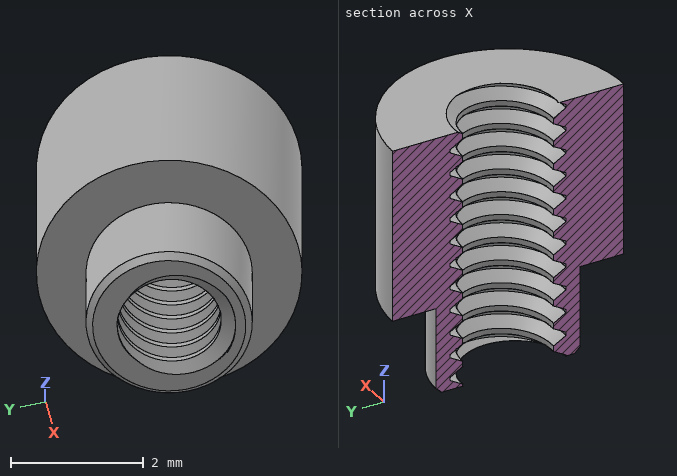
import cadquery as cq
import math

total_height = 4.5
body_diameter = 4.0
spigot_diameter = 2.5
spigot_height = total_height / 3
spigot_chamfer = 0.1

minor_radius = 1.565 / 2
major_radius = 2.0 / 2
pitch = 0.4
flank_angle = math.radians(30)
root_width = pitch / 8
bore_overlap = 0.04
turns_below_top = math.ceil(total_height / pitch) + 1
turns_above_top = 1


def make_blank():
    spigot = (
        cq.Workplane("XY")
        .circle(spigot_diameter / 2)
        .extrude(spigot_height)
        .faces("<Z")
        .chamfer(spigot_chamfer)
    )
    body = (
        cq.Workplane("XY", origin=(0, 0, spigot_height))
        .circle(body_diameter / 2)
        .extrude(total_height - spigot_height)
    )
    return spigot.union(body)


def make_bore():
    return cq.Workplane("XY").circle(minor_radius).extrude(total_height)


def make_thread_groove():
    """Trapezoid swept along a helix that crosses the top face on the +X side."""
    start_height = total_height - turns_below_top * pitch
    helix_height = (turns_below_top + turns_above_top) * pitch
    helix = cq.Wire.makeHelix(pitch, helix_height, minor_radius, cq.Vector(0, 0, start_height))

    inner_radius = minor_radius - bore_overlap
    root_half = root_width / 2
    mouth_half = root_half + (major_radius - inner_radius) * math.tan(flank_angle)
    return (
        cq.Workplane("XZ", origin=(0, 0, start_height))
        .moveTo(inner_radius, -mouth_half)
        .lineTo(major_radius, -root_half)
        .lineTo(major_radius, root_half)
        .lineTo(inner_radius, mouth_half)
        .close()
        .sweep(cq.Workplane(obj=helix), isFrenet=True)
    )


result = make_blank().cut(make_thread_groove()).cut(make_bore())